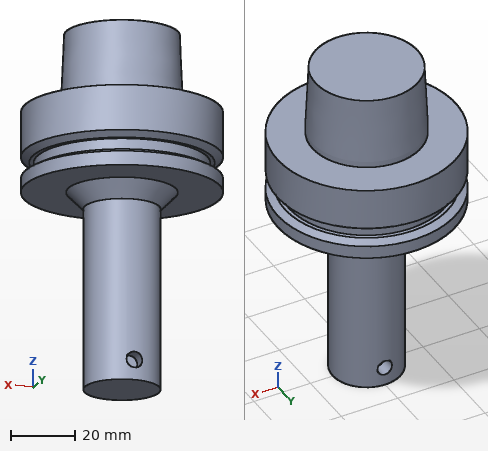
import cadquery as cq

total_height = 114.5
shank_top = 58.4
flange_bottom = 63.8
lower_rim_top = 68.2
groove_bottom = 69.6
groove_top = 73.4
upper_rim_bottom = 75.1
flange_top = 89.7
taper_bottom = 91.7

shank_radius = 24.0 / 2
neck_top_radius = shank_radius + (flange_bottom - shank_top)
flange_radius = 63.0 / 2
groove_radius = 55.0 / 2
groove_lip_radius = 57.7 / 2
taper_base_radius = 38.2 / 2
taper_top_radius = 36.2 / 2

screw_hole_diameter = 5.2
screw_hole_height = 6.5
screw_hole_depth = 5.0


def make_body():
    """Revolve the (radius, height) half-section about the Z axis."""
    return (
        cq.Workplane("XZ")
        .lineTo(shank_radius, 0)
        .lineTo(shank_radius, shank_top)
        .lineTo(neck_top_radius, flange_bottom)
        .lineTo(flange_radius, flange_bottom)
        .lineTo(flange_radius, lower_rim_top)
        .lineTo(groove_lip_radius, groove_bottom)
        .lineTo(groove_radius, groove_bottom)
        .lineTo(groove_radius, groove_top)
        .lineTo(groove_lip_radius, groove_top)
        .lineTo(flange_radius, upper_rim_bottom)
        .lineTo(flange_radius, flange_top)
        .lineTo(taper_base_radius, flange_top)
        .lineTo(taper_base_radius, taper_bottom)
        .lineTo(taper_top_radius, total_height)
        .lineTo(0, total_height)
        .close()
        .revolve(360, (0, 0), (0, 1))
    )


def make_screw_hole():
    """Cylinder running from the shank surface towards the axis."""
    return cq.Workplane(
        "XZ", origin=(0, shank_radius, screw_hole_height)
    ).circle(screw_hole_diameter / 2).extrude(screw_hole_depth)


result = make_body().cut(make_screw_hole())